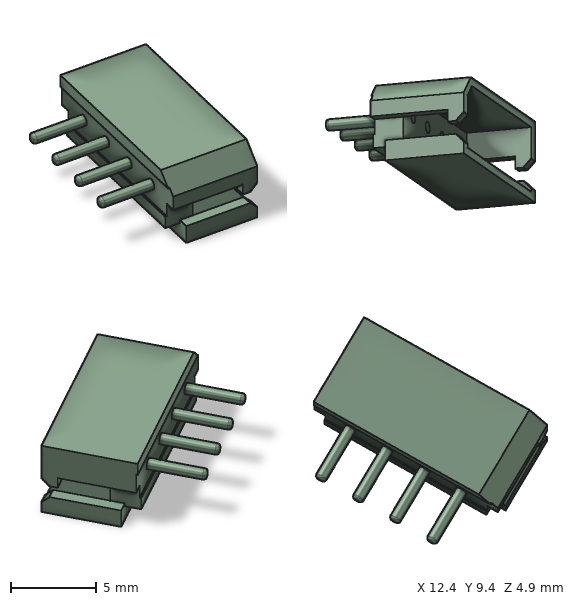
import cadquery as cq
import math

LENGTH = 12.4
DEPTH = 5.9
HEIGHT = 4.9

END_WALL = 0.72
FLOOR = 0.5
ROOF = 0.5
FRONT_WALL = 1.88
KEY_CHAMFER = 1.22

RECESS_DEPTH = 0.1
LIP_HEIGHT = 0.83
FRONT_WALL_BOTTOM = 1.0

RAIL_TOP = 1.22
RAIL_FRONT = 1.0
SLOT_TOP = 2.73
HOOK_LENGTH = 1.0
HOOK_BOTTOM = 2.01
LEAD_IN = 0.5

PIN_COUNT = 4
PIN_PITCH = 2.5
PIN_DIAMETER = 0.7
PIN_HEIGHT = 3.1
PIN_REACH = 3.5
PIN_TIP_RADIUS = 0.2

PIN_LENGTH = PIN_REACH + FRONT_WALL
PIN_POSITIONS = [LENGTH / 2 + (i - (PIN_COUNT - 1) / 2) * PIN_PITCH for i in range(PIN_COUNT)]


def extrude_along_x(points, start, length):
    """Extrude a (Y, Z) outline in +X."""
    return cq.Workplane("YZ", origin=(start, 0, 0)).polyline(points).close().extrude(length)


def extrude_along_y(points, start, length):
    """Extrude an (X, Z) outline in +Y."""
    return cq.Workplane("XZ", origin=(0, start, 0)).polyline(points).close().extrude(-length)


def make_block():
    """Outer block with the keying chamfer, stepped pin-side face and lead-in chamfers."""
    profile = [
        (RAIL_FRONT, 0),
        (DEPTH, 0),
        (DEPTH, HEIGHT),
        (0, HEIGHT),
        (0, HEIGHT - LIP_HEIGHT),
        (RECESS_DEPTH, HEIGHT - LIP_HEIGHT),
        (RECESS_DEPTH, FRONT_WALL_BOTTOM + LIP_HEIGHT),
        (0, FRONT_WALL_BOTTOM + LIP_HEIGHT),
        (0, FRONT_WALL_BOTTOM),
        (RAIL_FRONT, FRONT_WALL_BOTTOM),
    ]
    key_corner = [
        (LENGTH - KEY_CHAMFER, HEIGHT),
        (LENGTH, HEIGHT),
        (LENGTH, HEIGHT - KEY_CHAMFER),
    ]
    return extrude_along_x(profile, 0, LENGTH).cut(extrude_along_y(key_corner, 0, DEPTH))


def make_cavity():
    """Mating cavity, open at +Y, whose keyed corner runs parallel to the outer chamfer."""
    right = LENGTH - END_WALL
    top = HEIGHT - ROOF
    slope_sum = LENGTH + HEIGHT - KEY_CHAMFER - ROOF * math.sqrt(2)
    outline = [
        (END_WALL, FLOOR),
        (right, FLOOR),
        (right, slope_sum - right),
        (slope_sum - top, top),
        (END_WALL, top),
    ]
    return extrude_along_y(outline, FRONT_WALL, DEPTH - FRONT_WALL)


def make_end_slot(start):
    """Side opening through one end wall, leaving a hook above and a rail below."""
    opening = [
        (0, FRONT_WALL_BOTTOM),
        (RAIL_FRONT, FRONT_WALL_BOTTOM),
        (RAIL_FRONT, RAIL_TOP),
        (DEPTH - LEAD_IN, RAIL_TOP),
        (DEPTH, RAIL_TOP - LEAD_IN),
        (DEPTH, HOOK_BOTTOM + LEAD_IN),
        (DEPTH - LEAD_IN, HOOK_BOTTOM),
        (DEPTH - HOOK_LENGTH, HOOK_BOTTOM),
        (DEPTH - HOOK_LENGTH, SLOT_TOP),
        (0, SLOT_TOP),
    ]
    return extrude_along_x(opening, start, END_WALL)


def make_pin_hole(x):
    """Hole through the front wall for one pin."""
    hole = cq.Workplane("XZ", origin=(x, 0, PIN_HEIGHT)).circle(PIN_DIAMETER / 2)
    return hole.extrude(-FRONT_WALL)


def make_housing():
    housing = make_block().cut(make_cavity())
    for start in (0, LENGTH - END_WALL):
        housing = housing.cut(make_end_slot(start))
    for x in PIN_POSITIONS:
        housing = housing.cut(make_pin_hole(x))
    return housing


def make_pin(x):
    """Round pin, flush with the cavity's front face and rounded at its free end."""
    pin = cq.Workplane("XZ", origin=(x, FRONT_WALL, PIN_HEIGHT)).circle(PIN_DIAMETER / 2)
    return pin.extrude(PIN_LENGTH).faces("<Y").edges().fillet(PIN_TIP_RADIUS)


housing = make_housing()
pins = [make_pin(x).val() for x in PIN_POSITIONS]
result = cq.Compound.makeCompound([housing.val(), *pins])